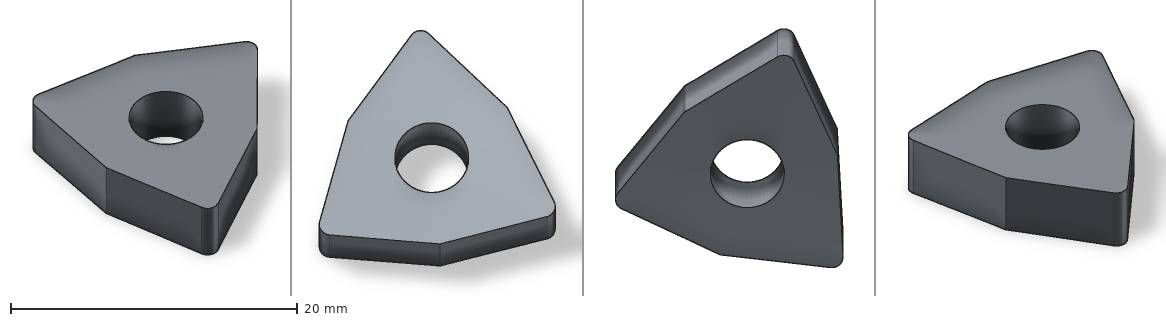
import math

import cadquery as cq

CORNER_COUNT = 3
CORNER_ANGLE = 80.0
INSCRIBED_DIAMETER = 12.7
CORNER_RADIUS = 0.8
SIDE_VERTEX_RADIUS = 0.2
CORNER_THICKNESS = 4.66
HOLE_DIAMETER = 5.16
DISH_ANGLE = 0.72
FIRST_CORNER_DIRECTION = 90.0

inscribed_radius = INSCRIBED_DIAMETER / 2
corner_pitch = 360.0 / CORNER_COUNT
corner_directions = [FIRST_CORNER_DIRECTION + index * corner_pitch for index in range(CORNER_COUNT)]
half_corner = math.radians(CORNER_ANGLE / 2)
half_pitch = math.radians(corner_pitch / 2)

sharp_corner_distance = inscribed_radius / math.sin(half_corner)
side_vertex_distance = inscribed_radius / math.sin(math.pi - half_corner - half_pitch)
tip_distance = sharp_corner_distance - CORNER_RADIUS / math.sin(half_corner) + CORNER_RADIUS


def polar_point(distance, direction):
    """Point at a distance from the axis, in a direction given in degrees from +X."""
    angle = math.radians(direction)
    return (distance * math.cos(angle), distance * math.sin(angle))


def round_upright_edge(prism, distance, direction, radius):
    """Fillet the vertical edge standing at the given polar position."""
    x, y = polar_point(distance, direction)
    return prism.edges(cq.selectors.NearestToPointSelector((x, y, 0))).fillet(radius)


def make_blank():
    """Flat trigon prism, centred on the XY plane, with rounded corners and side vertices."""
    outline = []
    for direction in corner_directions:
        outline.append(polar_point(sharp_corner_distance, direction))
        outline.append(polar_point(side_vertex_distance, direction + corner_pitch / 2))
    prism = (
        cq.Workplane("XY", origin=(0, 0, -CORNER_THICKNESS / 2))
        .polyline(outline)
        .close()
        .extrude(CORNER_THICKNESS)
    )

    for direction in corner_directions:
        prism = round_upright_edge(prism, sharp_corner_distance, direction, CORNER_RADIUS)
        prism = round_upright_edge(
            prism, side_vertex_distance, direction + corner_pitch / 2, SIDE_VERTEX_RADIUS
        )
    return prism


def make_dish():
    """Shallow cone hollowing the upper face, level with that face at the corner tips."""
    top = CORNER_THICKNESS / 2
    depth = tip_distance * math.tan(math.radians(DISH_ANGLE))
    return (
        cq.Workplane("XZ")
        .polyline([(0, top), (tip_distance, top), (0, top - depth)])
        .close()
        .revolve(360, (0, 0), (0, 1))
    )


def make_hole():
    """Cylinder for the clamping hole through the whole thickness."""
    return (
        cq.Workplane("XY", origin=(0, 0, -CORNER_THICKNESS / 2))
        .circle(HOLE_DIAMETER / 2)
        .extrude(CORNER_THICKNESS)
    )


upper_dish = make_dish()
lower_dish = upper_dish.mirror("XY")
result = make_blank().cut(upper_dish).cut(lower_dish).cut(make_hole())